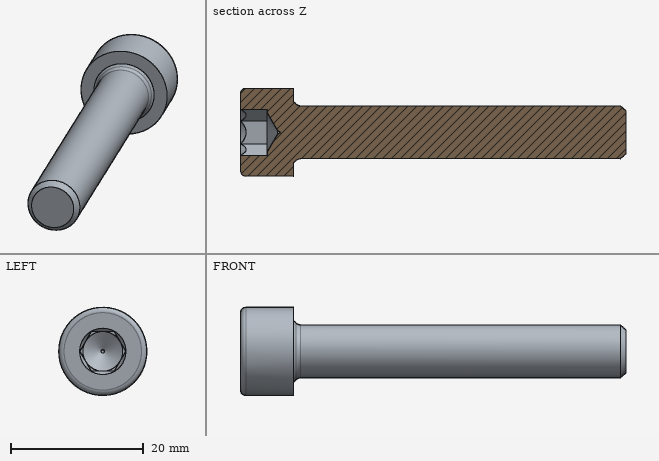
import cadquery as cq
import math

total_length = 58.0
head_diameter = 13.3
head_height = 8.0
head_edge_radius = 0.8
shank_diameter = 8.0
tip_chamfer_length = 0.85
tip_chamfer_depth = 0.75

neck_cone_length = 0.35
neck_arc_length = 0.7

hex_across_flats = 6.0
socket_depth = 4.0
mouth_diameter = 6.95
bottom_cone_angle = 120.0
mouth_cone_angle = 60.0

head_radius = head_diameter / 2
shank_radius = shank_diameter / 2
hex_across_corners = hex_across_flats / math.cos(math.radians(30))


def make_body():
    """Revolve the half outline of head, neck and shank around the X axis."""
    neck_arc_radius = neck_arc_length / math.sin(math.radians(45))
    neck_arc_rise = neck_arc_radius * (1 - math.cos(math.radians(45)))
    neck_arc_start = head_height + neck_cone_length
    neck_arc_top = shank_radius + neck_arc_rise
    neck_end = neck_arc_start + neck_arc_length
    neck_mid_x = neck_end - neck_arc_radius * math.sin(math.radians(22.5))
    neck_mid_height = shank_radius + neck_arc_radius * (1 - math.cos(math.radians(22.5)))
    arc_inset = head_edge_radius * (1 - math.sqrt(0.5))
    return (
        cq.Workplane("XY")
        .lineTo(0, head_radius - head_edge_radius)
        .threePointArc((arc_inset, head_radius - arc_inset), (head_edge_radius, head_radius))
        .lineTo(head_height, head_radius)
        .lineTo(head_height, neck_arc_top + neck_cone_length)
        .lineTo(neck_arc_start, neck_arc_top)
        .threePointArc((neck_mid_x, neck_mid_height), (neck_end, shank_radius))
        .lineTo(total_length - tip_chamfer_length, shank_radius)
        .lineTo(total_length, shank_radius - tip_chamfer_depth)
        .lineTo(total_length, 0)
        .close()
        .revolve(360, (0, 0, 0), (1, 0, 0))
    )


def make_cone(start_x, radius, included_angle):
    """Cone with its base at start_x and its apex pointing toward +X."""
    height = radius / math.tan(math.radians(included_angle / 2))
    return cq.Workplane(
        cq.Solid.makeCone(radius, 0, height, cq.Vector(start_x, 0, 0), cq.Vector(1, 0, 0))
    )


def make_socket():
    """Hexagon with corners on the Y axis, its bottom cone and its mouth cone."""
    hexagon = cq.Workplane("YZ").polygon(6, hex_across_corners).extrude(socket_depth)
    bottom = make_cone(socket_depth, hex_across_flats / 2, bottom_cone_angle)
    mouth = make_cone(0, mouth_diameter / 2, mouth_cone_angle)
    return hexagon.union(bottom).union(mouth)


result = make_body().cut(make_socket())